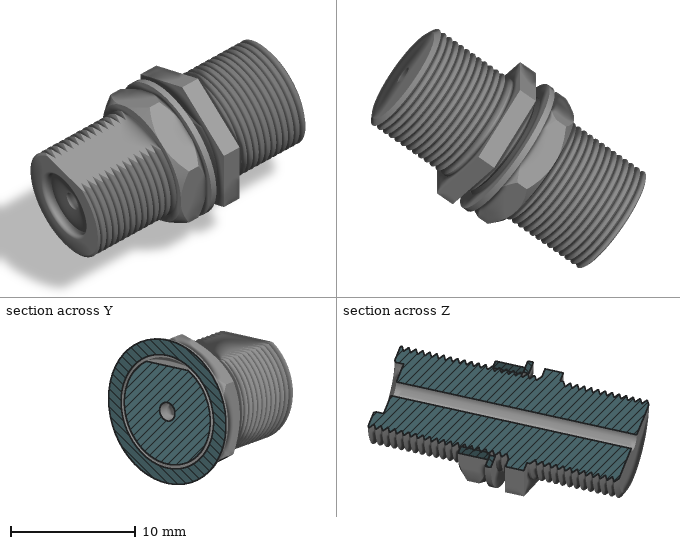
import cadquery as cq
import math


total_length = 20.98
flange_front_y = 11.83
flange_thickness = 1.57
flange_back_y = flange_front_y + flange_thickness

crest_radius = 4.7
back_thread_length = 7.32
back_thread_pitches = 12.5
pitch = back_thread_length / back_thread_pitches
flank_angle = 60
flank_slope = math.tan(math.radians(flank_angle))
root_radius = crest_radius - flank_slope * pitch / 2

flange_width = 11.16
flange_height = 12.65
flange_side_face_length = 6.06

flat_height = 3.85

recess_radius = 2.8
recess_depth = 0.8
recess_mouth_fillet = 0.25
through_hole_radius = 0.75

nut_front_y = 7.76
nut_thickness = 2.5
nut_across_flats = 10.51
hexagon_half_angle = 30
nut_across_corners = nut_across_flats / math.cos(math.radians(hexagon_half_angle))
nut_bore_radius = 4.45
nut_front_chamfer = 0.8
nut_back_chamfer = 0.73
nut_back_y = nut_front_y + nut_thickness

washer_radius = 6.02
washer_thickness = 0.5
washer_bore_radius = crest_radius


def cylinder(radius, start_y, length):
    """Cylinder about the Y axis, from start_y towards +Y."""
    return cq.Workplane("XZ", origin=(0, start_y, 0)).circle(radius).extrude(-length)


def revolve_about_y(points):
    """Solid of revolution from a closed outline of (radius, y) points."""
    return cq.Workplane("XY").polyline(points).close().revolve(360, (0, 0, 0), (0, 1, 0))


def front_thread_points():
    """Ridge outline from a crest on the flange to the front face, which cuts the last ridge short."""
    points = [(crest_radius, flange_front_y)]
    half_steps = math.floor(flange_front_y / (pitch / 2))
    for step in range(1, half_steps + 1):
        radius = root_radius if step % 2 else crest_radius
        points.append((radius, flange_front_y - step * pitch / 2))
    last_crest_y = points[-1][1]
    points.append((crest_radius - flank_slope * last_crest_y, 0))
    return points


def back_thread_points():
    """Ridge outline from a root on the back face to the crest where the plain collar begins."""
    half_steps = round(2 * back_thread_pitches)
    return [
        (crest_radius if step % 2 else root_radius, total_length - step * pitch / 2)
        for step in range(half_steps + 1)
    ]


def make_threaded_barrel():
    """Both threads and the plain collar behind the flange, with the flat cut along the front thread."""
    collar_points = [(crest_radius, flange_back_y)]
    axis_points = [(0, 0), (0, total_length)]
    barrel = revolve_about_y(axis_points + back_thread_points() + collar_points + front_thread_points())
    flat_cutter = cq.Workplane("XY").box(
        2 * crest_radius, flange_front_y, crest_radius, centered=(True, False, False)
    ).translate((0, 0, flat_height))
    return barrel.cut(flat_cutter)


def make_flange():
    half_width = flange_width / 2
    half_height = flange_height / 2
    half_side = flange_side_face_length / 2
    outline = [
        (0, half_height),
        (half_width, half_side),
        (half_width, -half_side),
        (0, -half_height),
        (-half_width, -half_side),
        (-half_width, half_side),
    ]
    return cq.Workplane("XZ", origin=(0, flange_front_y, 0)).polyline(outline).close().extrude(-flange_thickness)


def make_recess():
    """Blind round recess in the front face, its mouth rounded over."""
    mouth_radius = recess_radius + recess_mouth_fillet
    arc_offset = recess_mouth_fillet * (1 - math.sqrt(0.5))
    return (
        cq.Workplane("XY")
        .lineTo(mouth_radius, 0)
        .threePointArc((recess_radius + arc_offset, arc_offset), (recess_radius, recess_mouth_fillet))
        .lineTo(recess_radius, recess_depth)
        .lineTo(0, recess_depth)
        .close()
        .revolve(360, (0, 0, 0), (0, 1, 0))
    )


def make_housing():
    body = make_threaded_barrel().union(make_flange())
    return body.cut(make_recess()).cut(cylinder(through_hole_radius, 0, total_length))


def make_washer():
    disc = cylinder(washer_radius, nut_back_y, washer_thickness)
    return disc.cut(cylinder(washer_bore_radius, nut_back_y, washer_thickness))


def make_nut(mating_thread):
    """Hex nut with a corner up, 45 degree corner chamfers, and a bore grooved to fit the thread."""
    hexagon = (
        cq.Workplane("XZ", origin=(0, nut_front_y, 0))
        .transformed(rotate=(0, 0, hexagon_half_angle))
        .polygon(6, nut_across_corners)
        .extrude(-nut_thickness)
    )
    corner_radius = nut_across_corners / 2
    chamfer_envelope = revolve_about_y([
        (0, nut_front_y),
        (corner_radius - nut_front_chamfer, nut_front_y),
        (corner_radius, nut_front_y + nut_front_chamfer),
        (corner_radius, nut_back_y - nut_back_chamfer),
        (corner_radius - nut_back_chamfer, nut_back_y),
        (0, nut_back_y),
    ])
    bore = cylinder(nut_bore_radius, nut_front_y, nut_thickness)
    return hexagon.intersect(chamfer_envelope).cut(bore).cut(mating_thread)


housing = make_housing()
washer = make_washer()
nut = make_nut(make_threaded_barrel())

result = cq.Compound.makeCompound([body.solids().val() for body in (housing, washer, nut)])